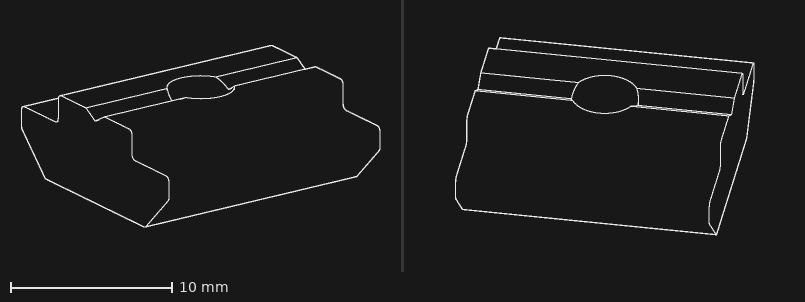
import cadquery as cq

width = 16.0
length = 16.0
height = 6.0

shoulder_height = 4.1
neck_width = 8.0
bevel = 2.6
edge_radius = 0.32

groove_width = 2.0
groove_depth = 0.58
hole_diameter = 4.2

half_width = width / 2
half_neck = neck_width / 2
half_groove = groove_width / 2


def make_body():
    """Extrude the stepped, bevelled section along Y and round its long edges."""
    right_side = [
        (half_width - bevel, 0),
        (half_width, bevel),
        (half_width, shoulder_height),
        (half_neck, shoulder_height),
        (half_neck, height),
    ]
    left_side = [(-x, z) for x, z in reversed(right_side)]
    body = (
        cq.Workplane("XZ")
        .polyline(right_side + left_side)
        .close()
        .extrude(length / 2, both=True)
    )
    return body.edges("|Y").fillet(edge_radius)


def make_groove():
    """V-shaped cutter running the full length of the top face."""
    return (
        cq.Workplane("XZ")
        .moveTo(-half_groove, height)
        .lineTo(0, height - groove_depth)
        .lineTo(half_groove, height)
        .close()
        .extrude(length / 2, both=True)
    )


def make_hole():
    """Cylindrical cutter through the full height at the centre."""
    return cq.Workplane("XY").circle(hole_diameter / 2).extrude(height)


result = make_body().cut(make_groove()).cut(make_hole())